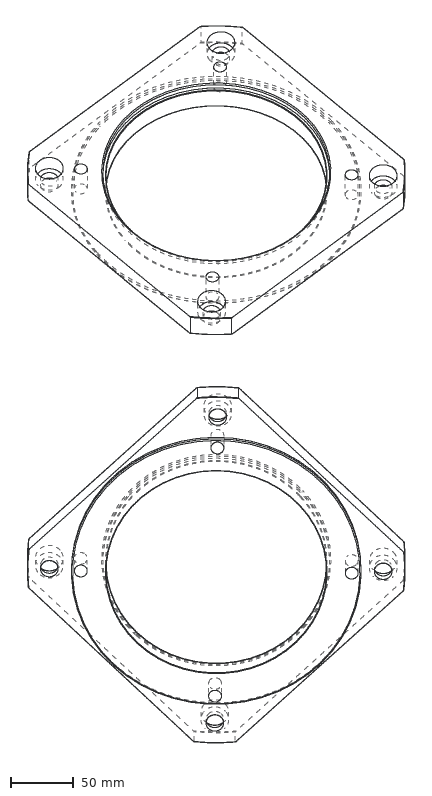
import cadquery as cq
import math

edge_chamfer = 0.5

plate_width = 234.0
total_height = 25.0
corner_diameter = 300.0

spigot_diameter = 230.0
spigot_height = 4.0
spigot_chamfer = 1.0

bore_diameter = 175.0
seat_diameter = 180.0
seat_depth = 5.0
seat_chamfer = 1.0

bolt_circle = 265.0
bolt_hole_diameter = 14.0
counterbore_diameter = 22.0
counterbore_depth = 14.0

inner_hole_circle = 215.0
inner_hole_diameter = 10.2

diagonal_angles = [45.0, 135.0, 225.0, 315.0]


def make_plate():
    """Square plate cut from a turned disc, which rounds and chamfers its corners."""
    thickness = total_height - spigot_height
    base = cq.Workplane("XY").workplane(offset=spigot_height)
    square = base.rect(plate_width, plate_width).extrude(thickness)
    disc = base.circle(corner_diameter / 2).extrude(thickness)
    disc = disc.faces("<Z or >Z").chamfer(edge_chamfer)
    return square.intersect(disc)


def make_spigot():
    """Locating disc under the plate with a chamfered lower rim."""
    spigot = cq.Workplane("XY").circle(spigot_diameter / 2).extrude(spigot_height)
    return spigot.faces("<Z").chamfer(spigot_chamfer)


def make_bore_cutter():
    """Turned shape of the bore, its seat and the chamfers on their edges."""
    bore_radius = bore_diameter / 2
    seat_radius = seat_diameter / 2
    seat_z = total_height - seat_depth
    profile = (
        cq.Workplane("XZ")
        .moveTo(0, 0)
        .lineTo(bore_radius + edge_chamfer, 0)
        .lineTo(bore_radius, edge_chamfer)
        .lineTo(bore_radius, seat_z - edge_chamfer)
        .lineTo(bore_radius + edge_chamfer, seat_z)
        .lineTo(seat_radius, seat_z)
        .lineTo(seat_radius, total_height - seat_chamfer)
        .lineTo(seat_radius + seat_chamfer, total_height)
        .lineTo(0, total_height)
        .close()
    )
    return profile.revolve(360, (0, 0, 0), (0, 1, 0))


def diagonal_points(circle_diameter):
    """One point per diagonal on a circle about the part axis."""
    radius = circle_diameter / 2
    points = []
    for angle in diagonal_angles:
        direction = math.radians(angle)
        points.append((radius * math.cos(direction), radius * math.sin(direction)))
    return points


def drill_holes(body):
    """Counterbored bolt holes and plain inner holes, all from the top face."""
    top = cq.Workplane("XY").workplane(offset=total_height)
    bolt_points = diagonal_points(bolt_circle)
    inner_points = diagonal_points(inner_hole_circle)
    bolts = top.pushPoints(bolt_points).circle(bolt_hole_diameter / 2).extrude(-total_height)
    counterbores = top.pushPoints(bolt_points).circle(counterbore_diameter / 2).extrude(-counterbore_depth)
    inner_holes = top.pushPoints(inner_points).circle(inner_hole_diameter / 2).extrude(-total_height)
    return body.cut(bolts).cut(counterbores).cut(inner_holes)


body = make_plate().union(make_spigot()).cut(make_bore_cutter())
result = drill_holes(body)